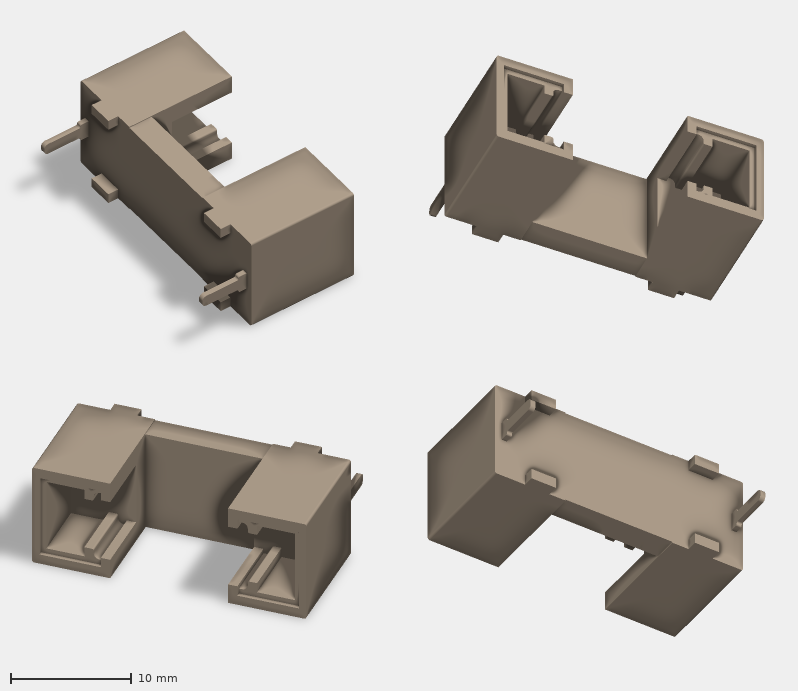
import cadquery as cq


length = 24.4
height = 9.4
depth = 10.5
block_length = 6.95
web_depth = 2.3
web_inset = 0.1
edge_radius = 0.2
half_length = length / 2
inner_face_x = half_length - block_length
half_height = height / 2

foot_length = 2.4
foot_size = 1.0
foot_end_gap = 2.98

outer_wall = 0.65
lip_thickness = 0.83
lip_height = 1.83
pocket_wall = 0.9
pocket_floor_y = 4.4
pocket_end_x = half_length - outer_wall
lip_back_x = inner_face_x + lip_thickness
opening_height = height - 2 * lip_height
pocket_height = height - 2 * pocket_wall

sheet = 0.5
contact_recess = 0.37
ridge_offset = 1.6
ridge_width = 0.83
ridge_height = 2.3
ridge_top_radius = 0.15
ridge_root_radius = 0.5
stem_height = 1.75
shoulder_length = 0.83
shoulder_radius = 0.159
pin_height = 1.1
pin_length = 4.51
pin_tip_radius = 0.4
plate_x = pocket_end_x - sheet
contact_end_y = depth - contact_recess
ridge_x = inner_face_x + ridge_offset
arm_bottom_z = pocket_wall - half_height
arm_top_z = arm_bottom_z + sheet
ridge_top_z = ridge_height - half_height


def box(x_start, x_end, y_start, y_end, z_size, z_middle=0.0):
    """Box between the given X and Y limits, centred in Z on z_middle."""
    block = cq.Workplane("XY").box(x_end - x_start, y_end - y_start, z_size)
    return block.translate(((x_start + x_end) / 2, (y_start + y_end) / 2, z_middle))


def make_pin():
    """Stem through the housing, a shoulder with rounded corners, and a narrow pin with a round tip."""
    stem = box(plate_x, pocket_end_x, -shoulder_length, pocket_floor_y, stem_height)
    stem = stem.faces("<Y").edges("|X").fillet(shoulder_radius)
    narrow = box(plate_x, pocket_end_x, -pin_length, 0, pin_height)
    narrow = narrow.faces("<Y").edges("|X").fillet(pin_tip_radius)
    root_z = pin_height / 2
    root_y = -shoulder_length
    roots = (
        cq.Workplane("YZ", origin=(plate_x, 0, 0))
        .moveTo(root_y, root_z)
        .lineTo(root_y, root_z + shoulder_radius)
        .radiusArc((root_y - shoulder_radius, root_z), shoulder_radius)
        .close()
        .extrude(sheet)
    )
    return stem.union(narrow).union(roots).union(roots.mirror("XY"))


def make_arm():
    """Lower arm of the contact: a flat strip with a ridge that presses on the fuse cap."""
    outline = (
        cq.Workplane("XZ", origin=(0, contact_end_y, 0))
        .moveTo(lip_back_x, arm_bottom_z)
        .lineTo(pocket_end_x, arm_bottom_z)
        .lineTo(pocket_end_x, arm_top_z)
        .lineTo(ridge_x + ridge_width, arm_top_z)
        .lineTo(ridge_x + ridge_width, ridge_top_z)
        .lineTo(ridge_x + ridge_top_radius, ridge_top_z)
        .radiusArc((ridge_x, ridge_top_z - ridge_top_radius), -ridge_top_radius)
        .lineTo(ridge_x, arm_top_z + ridge_root_radius)
        .radiusArc((ridge_x - ridge_root_radius, arm_top_z), ridge_root_radius)
        .lineTo(lip_back_x, arm_top_z)
        .close()
    )
    return outline.extrude(contact_end_y - pocket_floor_y)


def make_contact():
    """Contact of the +X block: back plate, two mirrored arms and the pin."""
    plate = box(plate_x, pocket_end_x, pocket_floor_y, contact_end_y, pocket_height)
    arm = make_arm()
    return plate.union(arm).union(arm.mirror("XY")).union(make_pin())


def make_foot():
    """Upper standoff foot of the +X block, flush with the block's upper face."""
    foot_end_x = half_length - foot_end_gap
    return box(foot_end_x - foot_length, foot_end_x, -foot_size, 0, foot_size, half_height - foot_size / 2)


def make_block():
    """End block on the +X side, with its feet, pocket and pin slot."""
    block = box(inner_face_x, half_length, 0, depth, height)
    block = block.faces(">X").edges("|Y").fillet(edge_radius)
    foot = make_foot()
    block = block.union(foot).union(foot.mirror("XY"))
    opening = box(inner_face_x, lip_back_x, pocket_floor_y, depth, opening_height)
    pocket = box(lip_back_x, pocket_end_x, pocket_floor_y, depth, pocket_height)
    pin_slot = box(plate_x, pocket_end_x, 0, pocket_floor_y, stem_height)
    return block.cut(opening).cut(pocket).cut(pin_slot)


def make_housing():
    """Both end blocks and the web that joins them."""
    web = box(-inner_face_x, inner_face_x, 0, web_depth, height - 2 * web_inset)
    block = make_block()
    return web.union(block).union(block.mirror("YZ"))


housing = make_housing()

right_contact = make_contact()
contacts = []
for contact in (right_contact, right_contact.mirror("YZ")):
    contacts.append(contact.val())

result = cq.Compound.makeCompound([housing.val(), *contacts])